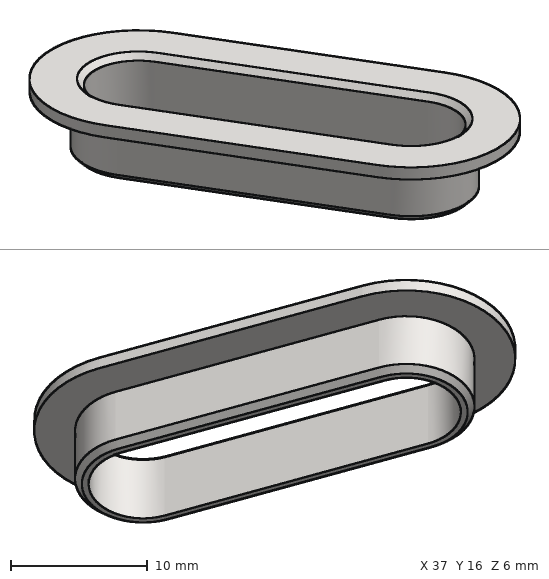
import cadquery as cq

overall_length = 37.0
flange_width = 16.0
overall_height = 6.0
wall = 1.0
sleeve_width = 10.0

centre_distance = overall_length - flange_width
opening_width = sleeve_width - 2 * wall
edge_chamfer = wall / 2


def slot_prism(width, bottom, top):
    """Upright prism with straight sides along X and semicircular ends."""
    return (
        cq.Workplane("XY")
        .workplane(offset=bottom)
        .slot2D(centre_distance + width, width)
        .extrude(top - bottom)
    )


sleeve = slot_prism(sleeve_width, 0, overall_height).faces("<Z").edges().chamfer(edge_chamfer)

flange = slot_prism(flange_width, overall_height - wall, overall_height)

opening = slot_prism(opening_width, 0, overall_height)
opening_flare = (
    slot_prism(opening_width + 2 * edge_chamfer, overall_height - edge_chamfer, overall_height + edge_chamfer)
    .faces("<Z")
    .edges()
    .chamfer(edge_chamfer)
)

result = sleeve.union(flange).cut(opening).cut(opening_flare)